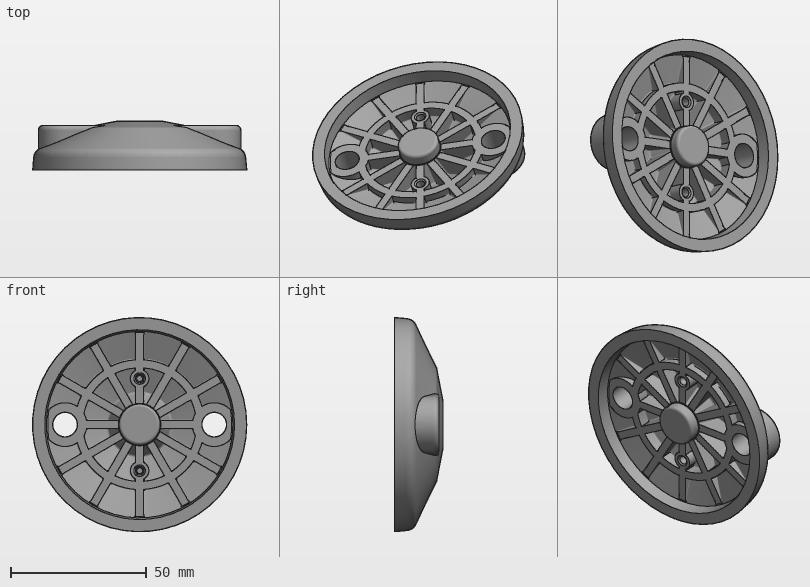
import cadquery as cq
import math


rim_radius = 39.5
total_depth = 18.0
rim_land_depth = 0.5
shoulder_radius = 38.9
shoulder_depth = 6.95
shoulder_fillet = 4.0
dome_break_radius = 20.8
dome_break_depth = 15.65
dome_top_radius = 8.5

mouth_radius = 35.0
floor_edge_radius = 34.4
floor_edge_depth = 4.9
floor_slope = 0.34
hub_root_radius = 11.6
hub_root_fillet = 0.8

hub_radius = 7.6
hub_depth = 0.6
hub_edge_fillet = 1.1
hub_base_fillet = 0.2
hub_base_radius = hub_radius + hub_base_fillet

rib_depth = 5.05
rib_count = 12
rib_width = 3.0
rib_root_fillet = 0.33
ring_inner_radius = 20.9
ring_outer_radius = 23.9

lug_spacing = 55.0
lug_hole_diameter = 9.0
pad_radius = 8.05
lug_end_radius = 10.5
lug_end_offset = 26.85
lug_taper = 6.3
lug_depth = 16.5
lug_fillet = 2.0

post_spacing = 34.0
post_radius = 3.4
screw_hole_radius = 1.6
screw_hole_tip_radius = 1.1
screw_hole_depth = 4.75
screw_chamfer = 0.55

depth_tolerance = 0.1


def floor_depth_at(radius):
    """Depth of the conical cavity floor at a given radius."""
    return floor_edge_depth + (floor_edge_radius - radius) * floor_slope


def revolve_about_y(profile):
    """Close a profile drawn in the XY plane and turn it about the Y axis."""
    return profile.close().revolve(360, (0, 0, 0), (0, 1, 0))


def level_edges(depth):
    """Selector for the edges that lie at one depth."""
    return cq.selectors.BoxSelector(
        (-rim_radius, depth - depth_tolerance, -rim_radius),
        (rim_radius, depth + depth_tolerance, rim_radius),
        boundingbox=True,
    )


def cylinder(radius, start, end, x=0.0, z=0.0):
    """Cylinder along Y between two depths."""
    return cq.Workplane("XZ", origin=(x, start, z)).circle(radius).extrude(start - end)


def make_dome():
    """Solid outer shape: drafted rim, rounded shoulder and a dome of two cones."""
    dome = revolve_about_y(
        cq.Workplane("XY")
        .lineTo(rim_radius, 0)
        .lineTo(rim_radius, rim_land_depth)
        .lineTo(shoulder_radius, shoulder_depth)
        .lineTo(dome_break_radius, dome_break_depth)
        .lineTo(dome_top_radius, total_depth)
        .lineTo(0, total_depth)
    )
    return dome.edges(level_edges(shoulder_depth)).fillet(shoulder_fillet)


def make_lug_bar():
    """Bar through both lugs: round ends joined by sides that widen towards the middle."""
    taper = math.radians(lug_taper)
    tangent_x = lug_end_offset + lug_end_radius * math.sin(taper)
    tangent_z = lug_end_radius * math.cos(taper)
    middle_z = tangent_z + tangent_x * math.tan(taper)
    tip_x = lug_end_offset + lug_end_radius
    bar = (
        cq.Workplane("XZ", origin=(0, rib_depth, 0))
        .moveTo(0, middle_z)
        .lineTo(tangent_x, tangent_z)
        .threePointArc((tip_x, 0), (tangent_x, -tangent_z))
        .lineTo(0, -middle_z)
        .lineTo(-tangent_x, -tangent_z)
        .threePointArc((-tip_x, 0), (-tangent_x, tangent_z))
        .close()
        .extrude(rib_depth - lug_depth)
    )
    return bar.faces(">Y").edges().fillet(lug_fillet)


def make_cavity():
    """Space under the dome, with the hub cone left standing in its middle."""
    hub_root_depth = floor_depth_at(hub_root_radius)
    cavity = revolve_about_y(
        cq.Workplane("XY")
        .moveTo(hub_base_radius, 0)
        .lineTo(mouth_radius, 0)
        .lineTo(mouth_radius, rim_land_depth)
        .lineTo(floor_edge_radius, floor_edge_depth)
        .lineTo(hub_root_radius, hub_root_depth)
        .lineTo(hub_base_radius, rib_depth)
    )
    return cavity.edges(level_edges(hub_root_depth)).fillet(hub_root_fillet)


def make_rib_grid():
    """Spokes, ring, lug pads and screw posts, all level with the rib plane."""
    ring_bore = cylinder(ring_inner_radius, rib_depth, total_depth)
    grid = cylinder(ring_outer_radius, rib_depth, total_depth).cut(ring_bore)
    spoke = (
        cq.Workplane("XY")
        .box(mouth_radius, total_depth - rib_depth, rib_width, centered=(False, False, True))
        .translate((0, rib_depth, 0))
    )
    for i in range(rib_count):
        grid = grid.union(spoke.rotate((0, 0, 0), (0, 1, 0), i * 360 / rib_count))
    for side in (-1, 1):
        grid = grid.union(cylinder(pad_radius, rib_depth, total_depth, x=side * lug_spacing / 2))
        grid = grid.union(cylinder(post_radius, rib_depth, total_depth, z=side * post_spacing / 2))
    return grid


def is_rib_root(edge):
    """True for edges where a rib, the ring or a post meets the floor; lug pads stay sharp."""
    center = edge.Center()
    on_pad = abs(center.x) > ring_outer_radius + rib_root_fillet and abs(center.z) < pad_radius
    below_ribs = center.y > rib_depth + 2 * depth_tolerance
    return below_ribs and edge.geomType() != "LINE" and not on_pad


def make_pockets():
    """Cavity space left between the ribs, rounded where the ribs meet the floor."""
    pockets = make_cavity().cut(make_rib_grid())
    root_edges = [edge for edge in pockets.edges().vals() if is_rib_root(edge)]
    return cq.Workplane(pockets.val().fillet(rib_root_fillet, root_edges))


def make_button_relief():
    """Space around the hub button, which flares into the rib plane with a small fillet."""
    return revolve_about_y(
        cq.Workplane("XY")
        .lineTo(hub_base_radius, 0)
        .lineTo(hub_base_radius, rib_depth)
        .radiusArc((hub_radius, rib_depth - hub_base_fillet), hub_base_fillet)
        .lineTo(hub_radius, hub_depth + hub_edge_fillet)
        .radiusArc((hub_radius - hub_edge_fillet, hub_depth), hub_edge_fillet)
        .lineTo(0, hub_depth)
    )


def make_screw_hole(z):
    """Blind tapered hole with a chamfered mouth."""
    hole = revolve_about_y(
        cq.Workplane("XY")
        .moveTo(0, rib_depth)
        .lineTo(screw_hole_radius + screw_chamfer, rib_depth)
        .lineTo(screw_hole_radius, rib_depth + screw_chamfer)
        .lineTo(screw_hole_tip_radius, rib_depth + screw_hole_depth)
        .lineTo(0, rib_depth + screw_hole_depth)
    )
    return hole.translate((0, 0, z))


result = make_dome().union(make_lug_bar()).cut(make_pockets()).cut(make_button_relief())
for side in (-1, 1):
    result = result.cut(cylinder(lug_hole_diameter / 2, 0, total_depth, x=side * lug_spacing / 2))
    result = result.cut(make_screw_hole(side * post_spacing / 2))